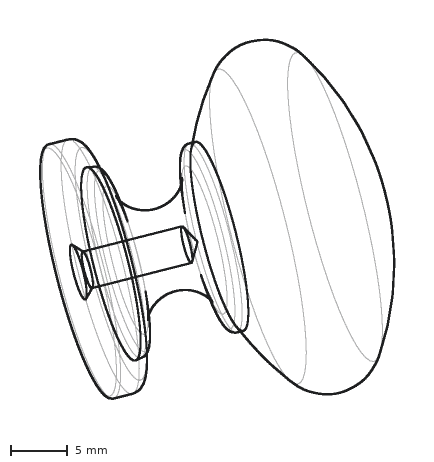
import cadquery as cq
import math


head_radius = 16.0
total_height = 28.0

foot_radius = 11.58
foot_height = 3.0
foot_top_fillet = 1.0
foot_bottom_fillet = 0.3

neck_radius = 3.75
neck_mid_height = 8.0
neck_arc_radius = 3.7
shoulder_angle = math.radians(11)

lower_collar_base_radius = 8.8
lower_collar_radius = 8.7
upper_collar_radius = 8.6
collar_fillet = 0.55
upper_collar_top = 13.02

dome_edge_radius = 14.05
dome_edge_height = 23.7
underside_edge_radius = 14.33

hole_radius = 1.65
hole_mouth_radius = 2.5
hole_depth = 10.0
drill_point_angle = math.radians(118)


def shoulder_point(radius, side):
    """Point on a neck shoulder; side is -1 towards the foot and +1 towards the head."""
    arc_center_radius = neck_radius + neck_arc_radius
    tangent_offset = neck_arc_radius * math.cos(shoulder_angle)
    tangent_radius = arc_center_radius - neck_arc_radius * math.sin(shoulder_angle)
    rise = (radius - tangent_radius) * math.tan(shoulder_angle)
    return radius, neck_mid_height + side * (tangent_offset + rise)


def collar_fillet_ends(radius, side):
    """Ends of the arc rounding a collar's corner: on the shoulder, then on the collar side."""
    setback = collar_fillet * math.tan(math.pi / 4 - shoulder_angle / 2)
    corner_height = shoulder_point(radius, side)[1]
    on_shoulder = shoulder_point(radius - setback * math.cos(shoulder_angle), side)
    on_side = (radius, corner_height + side * setback)
    return on_shoulder, on_side


def make_foot():
    foot = cq.Workplane("XZ").circle(foot_radius).extrude(-foot_height)
    foot = foot.faces(">Y").edges().fillet(foot_top_fillet)
    return foot.faces("<Y").edges().fillet(foot_bottom_fillet)


def make_neck():
    arc_start_radius = neck_radius + neck_arc_radius * (1 - math.sin(shoulder_angle))
    lower_shoulder, lower_side = collar_fillet_ends(lower_collar_radius, -1)
    upper_shoulder, upper_side = collar_fillet_ends(upper_collar_radius, 1)
    profile = (
        cq.Workplane("XY")
        .moveTo(0, foot_height)
        .lineTo(lower_collar_base_radius, foot_height)
        .lineTo(*lower_side)
        .radiusArc(lower_shoulder, -collar_fillet)
        .lineTo(*shoulder_point(arc_start_radius, -1))
        .threePointArc((neck_radius, neck_mid_height), shoulder_point(arc_start_radius, 1))
        .lineTo(*upper_shoulder)
        .radiusArc(upper_side, -collar_fillet)
        .lineTo(upper_collar_radius, upper_collar_top)
        .lineTo(0, upper_collar_top)
        .close()
    )
    return profile.revolve(360, (0, 0), (0, 1))


def make_head():
    dome_rise = total_height - dome_edge_height
    dome_radius = (dome_edge_radius**2 + dome_rise**2) / (2 * dome_rise)
    dome_edge_angle = math.asin(dome_edge_radius / dome_radius)

    rim_radius = (head_radius - dome_edge_radius) / (1 - math.sin(dome_edge_angle))
    rim_center_radius = head_radius - rim_radius
    rim_center_height = dome_edge_height - rim_radius * math.cos(dome_edge_angle)
    underside_drop = math.sqrt(rim_radius**2 - (underside_edge_radius - rim_center_radius) ** 2)
    underside_edge_height = rim_center_height - underside_drop

    profile = (
        cq.Workplane("XY")
        .moveTo(0, upper_collar_top)
        .lineTo(0, total_height)
        .radiusArc((dome_edge_radius, dome_edge_height), dome_radius)
        .threePointArc((head_radius, rim_center_height), (underside_edge_radius, underside_edge_height))
        .tangentArcPoint((upper_collar_radius, upper_collar_top), relative=False)
        .close()
    )
    return profile.revolve(360, (0, 0), (0, 1))


def make_screw_hole():
    """Blind drilled hole with a 45 degree countersink at the mounting face."""
    countersink_depth = hole_mouth_radius - hole_radius
    tip_depth = hole_depth + hole_radius / math.tan(drill_point_angle / 2)
    profile = cq.Workplane("XY").polyline(
        [
            (0, 0),
            (hole_mouth_radius, 0),
            (hole_radius, countersink_depth),
            (hole_radius, hole_depth),
            (0, tip_depth),
        ]
    )
    return profile.close().revolve(360, (0, 0), (0, 1))


result = make_foot().union(make_neck()).union(make_head()).cut(make_screw_hole())